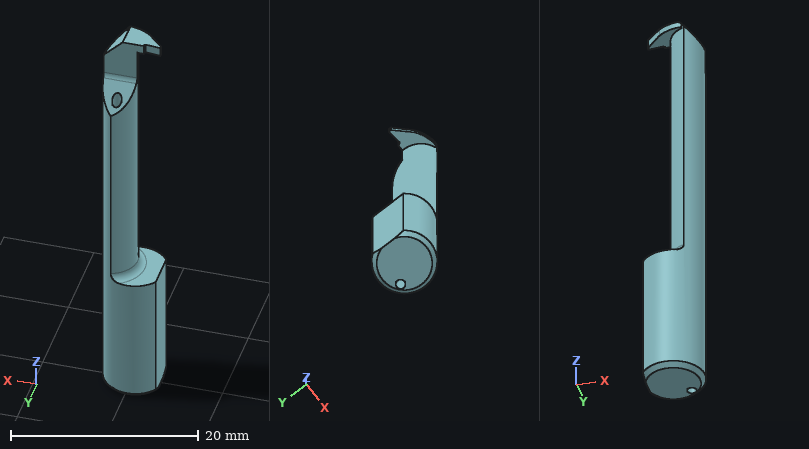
import cadquery as cq
import math

total_length = 45.0
shank_radius = 3.5
flat_distance = 2.85
shank_length = 15.05
end_chamfer = 0.55

neck_radius = 3.05
neck_left = -0.22
neck_axis_x = neck_left + neck_radius
neck_flare = 0.8

head_thickness = 1.1
underside_angle = 3.0
tip_x = -2.75
tip_width = 0.3
head_corner = (-1.05, -2.05)
head_arc_middle = (0.35, -2.85)
head_arc_end = (1.7, -3.05)
notch_right = -0.95
notch_depth = 0.3
notch_radius = 0.15

relief_angle = 3.0
top_edge_x = 1.4
corner_chamfer = shank_radius - top_edge_x

face_y = 0.15
slope_start_z = 40.25
slope_angle = 49.0
slope_blend_radius = 0.9

hole_center = (1.58, 1.75)
hole_diameter = 1.05

clearance = 2.25


def make_shank():
    shank = cq.Workplane("XY").circle(shank_radius).extrude(shank_length)
    shank = shank.faces("<Z").chamfer(end_chamfer)
    flat_cutter = cq.Workplane("XY").box(
        shank_radius, 4 * shank_radius, 3 * shank_length
    ).translate((-flat_distance - shank_radius / 2, 0, 0))
    return shank.cut(flat_cutter)


def make_neck():
    """Revolve the offset neck with its flared foot, then trim it to the bar."""
    flare_top = shank_length + neck_flare
    arc_offset = neck_flare * (1 - math.sqrt(0.5))
    profile = (
        cq.Workplane("XZ")
        .moveTo(0, shank_length)
        .lineTo(neck_radius + neck_flare, shank_length)
        .threePointArc(
            (neck_radius + arc_offset, shank_length + arc_offset),
            (neck_radius, flare_top),
        )
        .lineTo(neck_radius, total_length)
        .lineTo(0, total_length)
        .close()
    )
    neck = profile.revolve(360, (0, 0, 0), (0, 1, 0)).translate((neck_axis_x, 0, 0))
    bar = cq.Workplane("XY").circle(shank_radius).extrude(total_length)
    return neck.intersect(bar)


def make_head():
    """Plate with a pointed tip and a small chip notch behind the cutting edge."""
    plate = (
        cq.Workplane("XY")
        .workplane(offset=total_length - head_thickness)
        .moveTo(tip_x, 0)
        .lineTo(notch_right - notch_radius, face_y - notch_depth)
        .lineTo(notch_right, face_y - notch_depth + notch_radius)
        .lineTo(notch_right, face_y)
        .lineTo(head_arc_end[0], face_y)
        .lineTo(*head_arc_end)
        .threePointArc(head_arc_middle, head_corner)
        .lineTo(tip_x, -tip_width)
        .close()
        .extrude(head_thickness)
    )
    underside_z = total_length - head_thickness
    underside_cutter = (
        cq.Workplane("XY")
        .box(4 * shank_radius, 4 * shank_radius, clearance)
        .translate((0, 0, underside_z - clearance / 2))
        .rotate((0, face_y, underside_z), (1, face_y, underside_z), -underside_angle)
    )
    return plate.cut(underside_cutter)


def make_chip_cutter():
    """Remove the rear half of the neck top down to a blended slope."""
    outer_y = shank_radius + clearance
    slope_end_z = slope_start_z - (outer_y - face_y) * math.tan(math.radians(slope_angle))
    cutter = (
        cq.Workplane("YZ")
        .moveTo(face_y, slope_start_z)
        .lineTo(outer_y, slope_end_z)
        .lineTo(outer_y, total_length + clearance)
        .lineTo(face_y, total_length + clearance)
        .close()
        .extrude(2 * shank_radius, both=True)
    )
    blend_edge = cq.selectors.NearestToPointSelector((0, face_y, slope_start_z))
    return cutter.edges(blend_edge).fillet(slope_blend_radius)


def make_relief_cutter():
    """Trim the top and its 45 degree corner, both falling away towards -Y."""
    far_x = shank_radius + clearance
    cutter = (
        cq.Workplane("XZ")
        .moveTo(-far_x, total_length)
        .lineTo(top_edge_x, total_length)
        .lineTo(far_x, total_length - corner_chamfer - clearance)
        .lineTo(far_x, total_length + clearance)
        .lineTo(-far_x, total_length + clearance)
        .close()
        .extrude(2 * shank_radius, both=True)
    )
    pivot = (0, face_y, total_length)
    return cutter.rotate(pivot, (1, face_y, total_length), relief_angle)


coolant_hole = (
    cq.Workplane("XY").center(*hole_center).circle(hole_diameter / 2).extrude(total_length)
)

result = (
    make_shank()
    .union(make_neck())
    .union(make_head())
    .cut(make_chip_cutter())
    .cut(make_relief_cutter())
    .cut(coolant_hole)
)